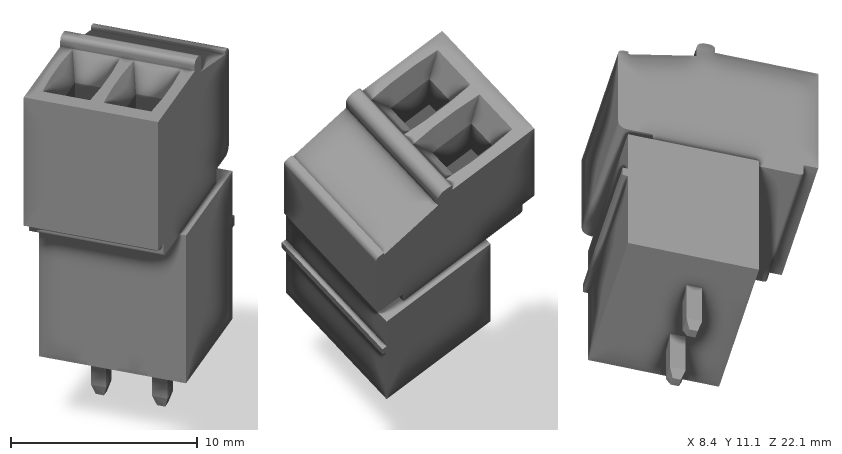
import cadquery as cq

pole_pitch = 3.5
pole_positions = (-pole_pitch / 2, pole_pitch / 2)

header_width = 8.4
header_front = 3.38
header_back = 10.65
header_bottom = 3.45
header_top = 12.65
rib_projection = 0.29
rib_bottom = 9.1
rib_height = 0.62

pin_side = 0.86
pin_tip_side = 0.46
pin_tip_height = 0.65
pin_y = 6.43

plug_width = 7.67
plug_depth = 11.1
plug_bottom = 13.5
plug_top = 21.48
bottom_back_radius = 0.5
skirt_front = 0.82
skirt_back = 9.17
skirt_radius = 0.22

slope_low = 19.87
slope_high = 20.9
lip_front = 10.52
lip_top = 20.09
lip_radius = 0.3
ridge_front = 5.72
ridge_back = 6.75
ridge_top = 22.1
ridge_front_radius = 0.29
ridge_back_radius = 0.49

funnel_length = 4.73
funnel_end_width = 2.72
funnel_bulge = 0.1
funnel_depth = 1.41
shaft_width = 1.72
shaft_length = 2.72
entry_y = 3.3
entry_depth = 4.42


def box(width, y_start, y_end, z_start, z_end):
    """Box centred on X = 0 between the given Y and Z limits."""
    return (
        cq.Workplane("XY", origin=(0, (y_start + y_end) / 2, z_start))
        .rect(width, y_end - y_start)
        .extrude(z_end - z_start)
    )


def rounded_edge(body, y, z, radius):
    """Round the edge along X that passes through the given Y and Z."""
    return body.edges(cq.selectors.NearestToPointSelector((0, y, z))).fillet(radius)


def make_plug():
    outline = [
        (0, plug_bottom),
        (skirt_front, plug_bottom),
        (skirt_front, header_top),
        (skirt_back, header_top),
        (skirt_back, plug_bottom),
        (plug_depth, plug_bottom),
        (plug_depth, lip_top),
        (lip_front, lip_top),
        (lip_front, slope_low),
        (ridge_back, slope_high),
        (ridge_back, ridge_top),
        (ridge_front, ridge_top),
        (ridge_front, plug_top),
        (0, plug_top),
    ]
    plug = cq.Workplane("YZ").polyline(outline).close().extrude(plug_width / 2, both=True)
    plug = rounded_edge(plug, skirt_front, header_top, skirt_radius)
    plug = rounded_edge(plug, plug_depth, plug_bottom, bottom_back_radius)
    plug = rounded_edge(plug, plug_depth, lip_top, lip_radius)
    plug = rounded_edge(plug, ridge_back, ridge_top, ridge_back_radius)
    return rounded_edge(plug, ridge_front, ridge_top, ridge_front_radius)


def make_wire_entry(x):
    """Funnel with bowed side rims that narrows to a straight rectangular shaft."""
    half_width = funnel_end_width / 2
    half_length = funnel_length / 2
    bowed_width = half_width + funnel_bulge
    funnel = (
        cq.Workplane("XY", origin=(x, entry_y, plug_top))
        .moveTo(-half_width, -half_length)
        .lineTo(half_width, -half_length)
        .threePointArc((bowed_width, 0), (half_width, half_length))
        .lineTo(-half_width, half_length)
        .threePointArc((-bowed_width, 0), (-half_width, -half_length))
        .close()
        .workplane(offset=-funnel_depth)
        .rect(shaft_width, shaft_length)
        .loft(ruled=True)
    )
    shaft = (
        cq.Workplane("XY", origin=(x, entry_y, plug_top - entry_depth))
        .rect(shaft_width, shaft_length)
        .extrude(entry_depth - funnel_depth)
    )
    return funnel.union(shaft)


def make_header():
    body = box(header_width, header_front, header_back, header_bottom, header_top)
    rib = box(header_width, header_back, header_back + rib_projection, rib_bottom, rib_bottom + rib_height)
    return body.union(rib)


def make_pin(x):
    """Square pin with a tapered tip."""
    shank = (
        cq.Workplane("XY", origin=(x, pin_y, pin_tip_height))
        .rect(pin_side, pin_side)
        .extrude(header_bottom - pin_tip_height)
    )
    tip = (
        cq.Workplane("XY", origin=(x, pin_y, 0))
        .rect(pin_tip_side, pin_tip_side)
        .workplane(offset=pin_tip_height)
        .rect(pin_side, pin_side)
        .loft(ruled=True)
    )
    return shank.union(tip)


result = make_plug().union(make_header())
for pole_x in pole_positions:
    result = result.cut(make_wire_entry(pole_x)).union(make_pin(pole_x))